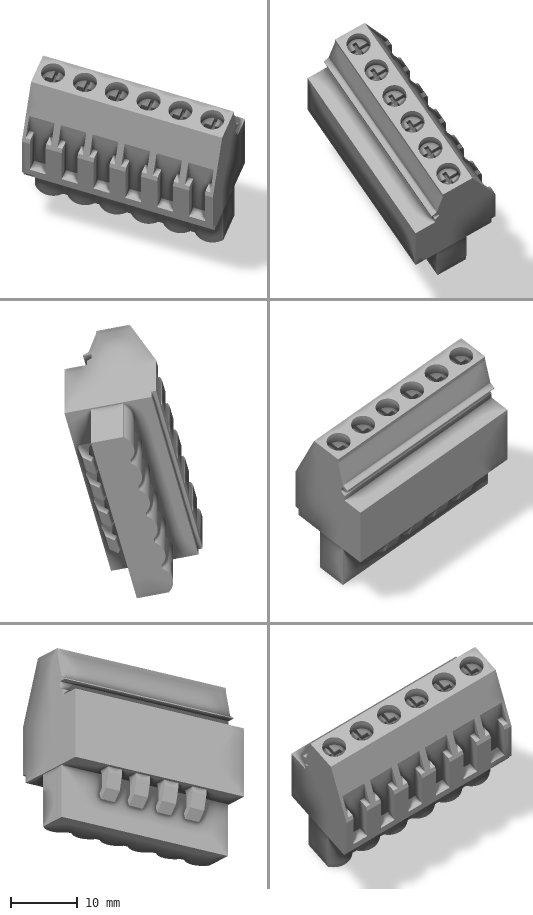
import cadquery as cq

POLES = 6
PITCH = 5.08
LENGTH = POLES * PITCH
DEPTH = 14.1
TOTAL_HEIGHT = 27.2
PLUG_HEIGHT = 8.3
HOUSING_HEIGHT = TOTAL_HEIGHT - PLUG_HEIGHT

FOOT_STEP_DEPTH = 0.66
FOOT_STEP_HEIGHT = 1.32
SLOPE_START_HEIGHT = 9.0
TOP_FRONT_Y = 4.04
TOP_BACK_Y = 9.26
TOP_BACK_EDGE_HEIGHT = 0.75
SHELF_HEIGHT = 10.93
SHELF_WALL_Y = 10.65
GROOVE_FLOOR_Y = 9.9
GROOVE_BOTTOM_HEIGHT = 12.4
SHELF_WALL_TOP_HEIGHT = 11.9
LIP_UNDERSIDE_HEIGHT = 13.37
LIP_TIP_THICKNESS = 0.17
LIP_TIP_Y = 11.24
LIP_ROOT_Y = 10.38
LIP_ROOT_HEIGHT = 14.03

RECESS_DEPTH = 1.8
RECESS_HEAD_WIDTH = 4.05
RECESS_STEM_WIDTH = 2.5
RECESS_FLOOR_HEIGHT = 2.5
RECESS_LEDGE_HEIGHT = 9.7

SCREW_DIAMETER = 3.6
SCREW_Y = 6.7
SCREW_RECESS = 1.9
SCREW_LENGTH = 3.0
DRIVE_DEPTH = 1.0
DRIVE_SLOT_WIDTH = 0.55
DRIVE_CROSS_WIDTH = 0.7
DRIVE_CROSS_LENGTH = 2.55

PLUG_END_INSET = 0.235
PLUG_BACK_Y = 10.07
PLUG_FLAT_Y = 5.03
PLUG_BULGE_Y = 4.0
BULGE_WIDTH = 4.36

HOOK_WIDTH = 2.5
HOOK_PROFILE = [
    (13.45, 0),
    (13.45, -0.83),
    (12.83, -3.18),
    (11.47, -4.58),
    (11.1, -3.63),
    (11.8, -2.85),
    (11.8, -1.03),
    (11.43, 0),
]

pole_centers = [(i - (POLES - 1) / 2) * PITCH for i in range(POLES)]


def extrude_along_x(profile, center_x, width):
    """Prism of a closed (Y, Z) profile, centred on center_x."""
    plane = cq.Workplane("YZ", origin=(center_x - width / 2, 0, 0))
    return plane.polyline(profile).close().extrude(width)


def make_block():
    profile = [
        (FOOT_STEP_DEPTH, 0),
        (FOOT_STEP_DEPTH, FOOT_STEP_HEIGHT),
        (0, FOOT_STEP_HEIGHT),
        (0, SLOPE_START_HEIGHT),
        (TOP_FRONT_Y, HOUSING_HEIGHT),
        (TOP_BACK_Y, HOUSING_HEIGHT),
        (TOP_BACK_Y, HOUSING_HEIGHT - TOP_BACK_EDGE_HEIGHT),
        (LIP_ROOT_Y, LIP_ROOT_HEIGHT),
        (LIP_TIP_Y, LIP_UNDERSIDE_HEIGHT + LIP_TIP_THICKNESS),
        (LIP_TIP_Y, LIP_UNDERSIDE_HEIGHT),
        (GROOVE_FLOOR_Y, LIP_UNDERSIDE_HEIGHT),
        (GROOVE_FLOOR_Y, GROOVE_BOTTOM_HEIGHT),
        (SHELF_WALL_Y, SHELF_WALL_TOP_HEIGHT),
        (SHELF_WALL_Y, SHELF_HEIGHT),
        (DEPTH, SHELF_HEIGHT),
        (DEPTH, 0),
    ]
    return extrude_along_x(profile, 0, LENGTH)


def make_plug():
    """Bar with a flat back and a shallow arc bulging forward at each pole."""
    end_x = LENGTH / 2 - PLUG_END_INSET
    outline = cq.Workplane("XY").moveTo(-end_x, PLUG_BACK_Y).lineTo(-end_x, PLUG_FLAT_Y)
    for x in pole_centers:
        outline = outline.lineTo(x - BULGE_WIDTH / 2, PLUG_FLAT_Y)
        outline = outline.threePointArc((x, PLUG_BULGE_Y), (x + BULGE_WIDTH / 2, PLUG_FLAT_Y))
    outline = outline.lineTo(end_x, PLUG_FLAT_Y).lineTo(end_x, PLUG_BACK_Y).close()
    return outline.extrude(-PLUG_HEIGHT)


def make_front_recess(x):
    """T-shaped cutter whose head runs up until its back wall meets the front slope."""
    def cutter(width, floor_height):
        floor = cq.Workplane("XY", origin=(x, RECESS_DEPTH / 2, floor_height))
        return floor.rect(width, RECESS_DEPTH).extrude(HOUSING_HEIGHT - floor_height)

    head = cutter(RECESS_HEAD_WIDTH, RECESS_LEDGE_HEIGHT)
    return head.union(cutter(RECESS_STEM_WIDTH, RECESS_FLOOR_HEIGHT))


def make_screw_well(x):
    well = cq.Workplane("XY", origin=(x, SCREW_Y, HOUSING_HEIGHT))
    return well.circle(SCREW_DIAMETER / 2).extrude(-(SCREW_RECESS + SCREW_LENGTH))


def make_housing():
    housing = make_block().union(make_plug())
    for x in pole_centers[1:-1]:
        housing = housing.union(extrude_along_x(HOOK_PROFILE, x, HOOK_WIDTH))
    for x in pole_centers:
        housing = housing.cut(make_front_recess(x))
        housing = housing.cut(make_screw_well(x))
    return housing


def make_screw(x):
    """Sunken screw with a full-width slot crossed by a shorter, wider one."""
    top = cq.Workplane("XY", origin=(x, SCREW_Y, HOUSING_HEIGHT - SCREW_RECESS))
    screw = top.circle(SCREW_DIAMETER / 2).extrude(-SCREW_LENGTH)
    slot = top.rect(DRIVE_SLOT_WIDTH, SCREW_DIAMETER).extrude(-DRIVE_DEPTH)
    cross = top.rect(DRIVE_CROSS_LENGTH, DRIVE_CROSS_WIDTH).extrude(-DRIVE_DEPTH)
    return screw.cut(slot).cut(cross)


housing = make_housing()
screws = [make_screw(x) for x in pole_centers]

result = cq.Compound.makeCompound([housing.solids().val(), *[screw.solids().val() for screw in screws]])